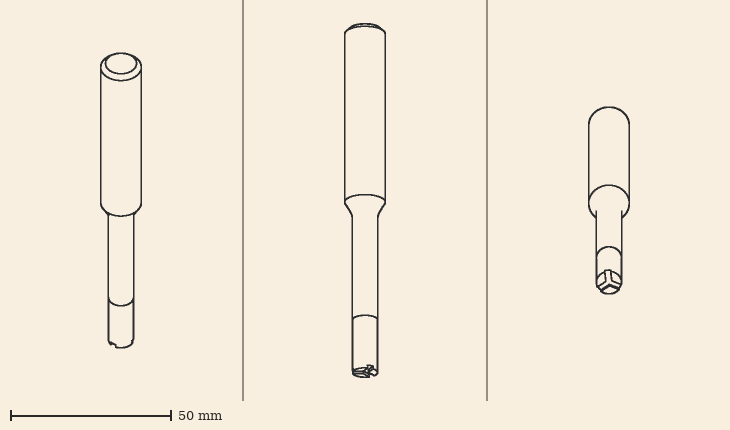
import cadquery as cq
import math

total_length = 115.5
tip_length = 17.7
neck_end = 51.7

shank_radius = 12.7 / 2
neck_radius = 8.0 / 2
top_chamfer = 1.5
cone_angle = math.radians(30)
blend_radius = 5.5

tip_radius = 7.9 / 2
slot_count = 3
slot_width = 1.8
slot_depth = 0.9
first_slot_angle = -90.0


def blend_point(angle):
    """Point on the concave arc where its tangent leans by angle from the axis."""
    radius = neck_radius + blend_radius * (1 - math.cos(angle))
    height = neck_end + blend_radius * math.sin(angle)
    return radius, height


def make_holder():
    """Turned shank, cone and neck, revolved from a half profile."""
    cone_start = blend_point(cone_angle)
    cone_end_height = cone_start[1] + (shank_radius - cone_start[0]) / math.tan(cone_angle)
    return (
        cq.Workplane("XZ")
        .moveTo(0, tip_length)
        .lineTo(neck_radius, tip_length)
        .lineTo(neck_radius, neck_end)
        .threePointArc(blend_point(cone_angle / 2), cone_start)
        .lineTo(shank_radius, cone_end_height)
        .lineTo(shank_radius, total_length - top_chamfer)
        .lineTo(shank_radius - top_chamfer, total_length)
        .lineTo(0, total_length)
        .close()
        .revolve(360, (0, 0), (0, 1))
    )


def make_slot(angle):
    """Radial slot cutter running from the axis outward across the end face."""
    slot_length = 2 * tip_radius
    return (
        cq.Workplane("XY")
        .box(slot_length, slot_width, slot_depth, centered=(False, True, False))
        .rotate((0, 0, 0), (0, 0, 1), angle)
    )


def make_tip():
    """Cylindrical tip with evenly spaced radial slots in its end face."""
    tip = cq.Workplane("XY").circle(tip_radius).extrude(tip_length)
    for index in range(slot_count):
        tip = tip.cut(make_slot(first_slot_angle + index * 360 / slot_count))
    return tip


holder = make_holder()
tip = make_tip()

result = cq.Compound.makeCompound([holder.val(), tip.val()])